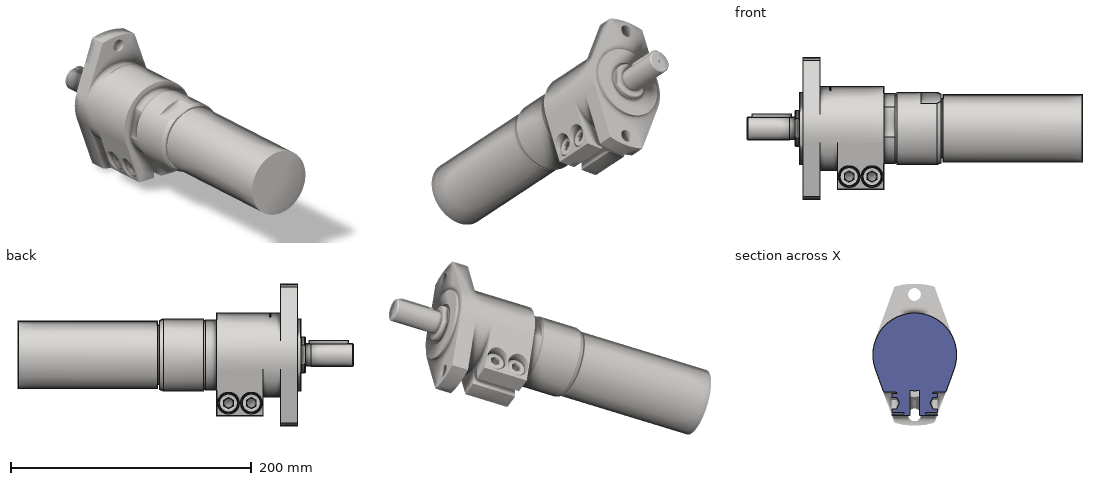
import cadquery as cq
import math


shaft_end_x = -46.4
shaft_seat_length = 35.5
collar_front_x = -6.6
pilot_front_x = -2.6
flange_thickness = 14.3
clamp_front_x = 28.6
clamp_length = 38.7
clamp_rear_x = clamp_front_x + clamp_length
neck_end_x = 76.7
gearbox_front_x = 78.0
gearbox_end_x = 114.9
motor_front_x = 116.6
motor_end_x = 232.3

shaft_diameter = 19.0
shaft_neck_diameter = 18.8
shaft_chamfer = 0.8
center_hole_diameter = 1.6
center_hole_depth = 4.0
center_sink_diameter = 2.5
center_sink_angle = 60.0
pilot_diameter = 60.0
body_diameter = 70.0
neck_diameter = 58.4
neck_groove_diameter = 57.5
gearbox_diameter = 60.0
gearbox_chamfer_length = 3.4
gearbox_chamfer_height = 1.5
motor_groove_diameter = 49.4
motor_diameter = 56.0

key_width = 6.0
key_length = 33.0
key_end_gap = 4.0
key_top_z = 12.2

collar_diameter = 30.0
collar_chamfer = 0.8
collar_flats_width = 25.0
recess_diameter = 35.0
recess_depth = 1.0

flange_height = 118.0
side_tilt = 20.0
bolt_spacing = 100.0
bolt_hole_diameter = 10.5

ear_bottom_z = -50.7
clamp_gap = 7.4
clamp_bore_diameter = gearbox_diameter
screw_spacing = 19.0
screw_z = -40.0
spotface_diameter = 18.0
spotface_floor = 9.0
screw_head_diameter = 16.0
screw_head_height = 10.0
screw_head_chamfer = 0.525
socket_width = 8.0
socket_depth = 4.0
socket_tip_depth = 2.0

slot_x = 22.9
slot_width = 0.9
slot_half_length = 15.0

neck_flat_angle = 11.5
neck_flat_distance = 26.3
gearbox_flat_angle = 66.5
gearbox_flat_distance = 27.7
gearbox_flat_length = 16.7


def cylinder_x(diameter, start, end):
    """Solid cylinder on the X axis between two stations."""
    return cq.Workplane("YZ", origin=(start, 0, 0)).circle(diameter / 2).extrude(end - start)


def slanted_side_point(radius):
    """Y and Z of the point where an upper slanted side reaches the given radius."""
    body_radius = body_diameter / 2
    angle = math.radians(side_tilt) + math.acos(body_radius / radius)
    return radius * math.cos(angle), radius * math.sin(angle)


def tangent_point():
    """Y and Z of the point where an upper slanted side touches the round body."""
    return slanted_side_point(body_diameter / 2)


def make_shaft():
    seat_end_x = shaft_end_x + shaft_seat_length
    shaft = cylinder_x(shaft_diameter, shaft_end_x, seat_end_x).faces("<X").chamfer(shaft_chamfer)
    shaft = shaft.union(cylinder_x(shaft_neck_diameter, seat_end_x, 0))
    key_center_x = shaft_end_x + key_end_gap + key_length / 2
    key = (
        cq.Workplane("XY")
        .center(key_center_x, 0)
        .slot2D(key_length, key_width)
        .extrude(key_top_z)
    )
    center_hole = cylinder_x(center_hole_diameter, shaft_end_x, shaft_end_x + center_hole_depth)
    sink_radius = center_sink_diameter / 2
    sink_depth = sink_radius / math.tan(math.radians(center_sink_angle / 2))
    sink = cq.Solid.makeCone(
        sink_radius,
        0,
        sink_depth,
        pnt=cq.Vector(shaft_end_x, 0, 0),
        dir=cq.Vector(1, 0, 0),
    )
    return shaft.union(key).cut(center_hole).cut(cq.Workplane(sink))


def make_collar():
    recess_floor_x = pilot_front_x + recess_depth
    collar = cylinder_x(collar_diameter, collar_front_x, pilot_front_x).edges().chamfer(collar_chamfer)
    flat_length = pilot_front_x - collar_front_x
    between_flats = cq.Workplane("XY").box(flat_length, collar_flats_width, collar_diameter)
    between_flats = between_flats.translate((collar_front_x + flat_length / 2, 0, 0))
    base = cylinder_x(collar_diameter, pilot_front_x, recess_floor_x)
    return collar.intersect(between_flats).union(base)


def make_pilot():
    pilot = cylinder_x(pilot_diameter, pilot_front_x, 0)
    return pilot.cut(cylinder_x(recess_diameter, pilot_front_x, pilot_front_x + recess_depth))


def make_flange():
    side_y, side_z = tangent_point()
    tip_y, tip_z = slanted_side_point(flange_height / 2)
    outline = (
        cq.Workplane("YZ")
        .moveTo(side_y, -side_z)
        .threePointArc((body_diameter / 2, 0), (side_y, side_z))
        .lineTo(tip_y, tip_z)
        .threePointArc((0, flange_height / 2), (-tip_y, tip_z))
        .lineTo(-side_y, side_z)
        .threePointArc((-body_diameter / 2, 0), (-side_y, -side_z))
        .lineTo(-tip_y, -tip_z)
        .threePointArc((0, -flange_height / 2), (tip_y, -tip_z))
        .close()
    )
    holes = (
        cq.Workplane("YZ")
        .pushPoints([(0, bolt_spacing / 2), (0, -bolt_spacing / 2)])
        .circle(bolt_hole_diameter / 2)
        .extrude(flange_thickness)
    )
    return outline.extrude(flange_thickness).cut(holes)


def make_body():
    body = cylinder_x(body_diameter, 0, clamp_rear_x)
    body_radius = body_diameter / 2
    slot_floor_z = math.sqrt(body_radius**2 - slot_half_length**2)
    slot = cq.Workplane("XY").box(slot_width, body_diameter, body_radius, centered=(True, True, False))
    return body.cut(slot.translate((slot_x, 0, slot_floor_z)))


def make_screw(x, side):
    """Socket head clamp screw on one side; side is -1 for -Y and 1 for +Y."""
    seat = cq.Workplane("XZ", origin=(x, side * spotface_floor, screw_z))
    outward = -side
    head = seat.circle(screw_head_diameter / 2).extrude(outward * screw_head_height)
    outer_face = ">Y" if side > 0 else "<Y"
    head = head.faces(outer_face).chamfer(screw_head_chamfer)
    corner_diameter = socket_width / math.cos(math.pi / 6)
    socket = (
        seat.workplane(offset=outward * screw_head_height)
        .transformed(rotate=(0, 0, 90))
        .polygon(6, corner_diameter)
        .extrude(-outward * socket_depth)
    )
    socket_floor_y = side * (spotface_floor + screw_head_height - socket_depth)
    tip = cq.Solid.makeCone(
        socket_width / 2,
        0,
        socket_tip_depth,
        pnt=cq.Vector(x, socket_floor_y, screw_z),
        dir=cq.Vector(0, -side, 0),
    )
    return head.cut(socket).cut(cq.Workplane(tip))


def make_clamp_ears():
    """Ears with spotfaces, the gap between them, and the clamp screws."""
    side_y, side_z = tangent_point()
    bottom_y = side_y + (ear_bottom_z + side_z) * math.tan(math.radians(side_tilt))
    ears = (
        cq.Workplane("YZ", origin=(clamp_front_x, 0, 0))
        .moveTo(-side_y, -side_z)
        .lineTo(side_y, -side_z)
        .lineTo(bottom_y, ear_bottom_z)
        .lineTo(-bottom_y, ear_bottom_z)
        .close()
        .extrude(clamp_length)
    )
    gap = (
        cq.Workplane("XY", origin=(clamp_front_x, 0, 0))
        .box(clamp_length, clamp_gap, -ear_bottom_z, centered=(False, True, False))
        .translate((0, 0, ear_bottom_z))
        .cut(cylinder_x(clamp_bore_diameter, clamp_front_x, clamp_rear_x))
    )
    clamp_center_x = clamp_front_x + clamp_length / 2
    screws = cq.Workplane("XY")
    for x in (clamp_center_x - screw_spacing / 2, clamp_center_x + screw_spacing / 2):
        for side in (-1, 1):
            spotface = (
                cq.Workplane("XZ", origin=(x, side * spotface_floor, screw_z))
                .circle(spotface_diameter / 2)
                .extrude(-side * body_diameter)
            )
            ears = ears.cut(spotface)
            screws = screws.add(make_screw(x, side))
    return ears, gap, screws


def make_flat_cutter(angle, distance, start, end):
    """Block that cuts a flat at the given angle (degrees) above -Y and distance from the axis."""
    width = body_diameter
    block = cq.Workplane("XY").box(end - start, width, width, centered=(False, False, True))
    block = block.translate((start, -width - distance, 0))
    return block.rotate((0, 0, 0), (1, 0, 0), -angle)


def make_neck():
    neck = cylinder_x(neck_diameter, clamp_rear_x, neck_end_x)
    neck = neck.cut(make_flat_cutter(neck_flat_angle, neck_flat_distance, clamp_rear_x, neck_end_x))
    return neck.union(cylinder_x(neck_groove_diameter, neck_end_x, gearbox_front_x))


def make_gearbox():
    gearbox = cylinder_x(gearbox_diameter, gearbox_front_x, gearbox_end_x)
    gearbox = gearbox.faces(">X").edges().chamfer(gearbox_chamfer_length, gearbox_chamfer_height)
    flat_start_x = gearbox_end_x - gearbox_flat_length
    return gearbox.cut(
        make_flat_cutter(gearbox_flat_angle, gearbox_flat_distance, flat_start_x, gearbox_end_x)
    )


def make_motor():
    motor = cylinder_x(motor_diameter, motor_front_x, motor_end_x)
    return motor.union(cylinder_x(motor_groove_diameter, gearbox_end_x, motor_front_x))


ears, gap, screws = make_clamp_ears()
result = make_body().union(ears).cut(gap)
for screw in screws.vals():
    result = result.union(cq.Workplane(screw))
for section in (
    make_flange(),
    make_pilot(),
    make_collar(),
    make_shaft(),
    make_neck(),
    make_gearbox(),
    make_motor(),
):
    result = result.union(section)